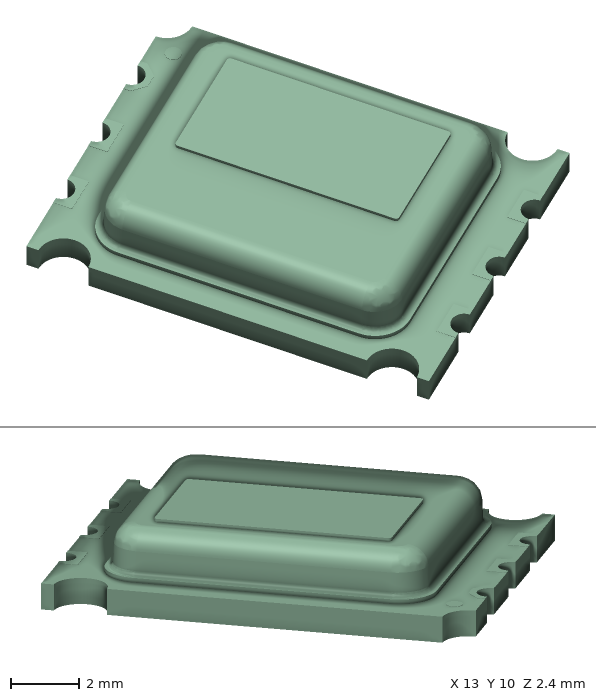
import cadquery as cq

BOARD_LENGTH = 13.0
BOARD_WIDTH = 10.0
BOARD_THICKNESS = 0.8
OVERALL_HEIGHT = 2.4

EDGE_NOTCH_RADIUS = 0.8
EDGE_NOTCH_INSET = 1.2

CONTACT_RADIUS = 0.4
CONTACT_PITCH = 2.5
CONTACTS_PER_SIDE = 3
PAD_LENGTH = 0.61
PAD_WIDTH = 1.2
PAD_CHAMFER = 0.38
PAD_HEIGHT = 0.01

MARK_DIAMETER = 0.51
MARK_END_INSET = 0.75
MARK_BACK_INSET = 1.22

LABEL_LENGTH = 7.22
LABEL_WIDTH = 3.82
LABEL_HEIGHT = 0.1
LABEL_CORNER_RADIUS = 0.1
LABEL_OFFSET_Y = 1.07

COVER_LENGTH = 9.6
COVER_WIDTH = 8.0
COVER_CORNER_RADIUS = 0.9
COVER_TOP_FILLET = 0.64
COVER_DRAFT = 2.0
FLANGE_OVERHANG = 0.23
FLANGE_HEIGHT = 0.14
FLANGE_FILLET = 0.14

board_end = BOARD_LENGTH / 2
board_back = BOARD_WIDTH / 2
lid_height = OVERALL_HEIGHT - LABEL_HEIGHT - BOARD_THICKNESS
contact_centres_y = [
    (i - (CONTACTS_PER_SIDE - 1) / 2) * CONTACT_PITCH for i in range(CONTACTS_PER_SIDE)
]
contact_centres = [(side * board_end, y) for side in (-1, 1) for y in contact_centres_y]
first_contact = (-board_end, contact_centres_y[-1])


def rounded_plate(length, width, height, corner_radius):
    """Flat plate on Z = 0 with rounded vertical edges."""
    plate = cq.Workplane("XY").rect(length, width).extrude(height)
    return plate.edges("|Z").fillet(corner_radius)


def make_pads():
    """Thin contact pads; the first one has its two inner corners cut off."""
    plain_centres = [centre for centre in contact_centres if centre != first_contact]
    top = cq.Workplane("XY").workplane(offset=BOARD_THICKNESS)
    plain_pads = top.pushPoints(plain_centres).rect(2 * PAD_LENGTH, PAD_WIDTH).extrude(PAD_HEIGHT)
    first_pad = top.center(*first_contact).rect(2 * PAD_LENGTH, PAD_WIDTH).extrude(PAD_HEIGHT)
    first_pad = first_pad.edges("|Z").chamfer(PAD_CHAMFER)
    trim = cq.Workplane("XY").box(BOARD_LENGTH, BOARD_WIDTH, OVERALL_HEIGHT * 2)
    return plain_pads.union(first_pad).intersect(trim)


def make_mark():
    """Thin round mark near the back left corner."""
    mark_centre = (MARK_END_INSET - board_end, board_back - MARK_BACK_INSET)
    top = cq.Workplane("XY").workplane(offset=BOARD_THICKNESS)
    return top.center(*mark_centre).circle(MARK_DIAMETER / 2).extrude(PAD_HEIGHT)


def make_board():
    """Board with pads and mark, cut by the edge notches and the contacts."""
    board = cq.Workplane("XY").rect(BOARD_LENGTH, BOARD_WIDTH).extrude(BOARD_THICKNESS)
    board = board.union(make_pads()).union(make_mark())

    notch_x = board_end - EDGE_NOTCH_INSET
    notch_centres = [
        (-notch_x, -board_back),
        (notch_x, -board_back),
        (notch_x, board_back),
        (-board_end, board_back),
    ]
    notches = cq.Workplane("XY").pushPoints(notch_centres).circle(EDGE_NOTCH_RADIUS)
    board = board.cut(notches.extrude(OVERALL_HEIGHT))

    contacts = cq.Workplane("XY").pushPoints(contact_centres).circle(CONTACT_RADIUS)
    return board.cut(contacts.extrude(OVERALL_HEIGHT))


def make_lid():
    """Flange and drafted cover, joined by a concave fillet."""
    cover = cq.Workplane("XY").rect(COVER_LENGTH, COVER_WIDTH).extrude(lid_height, taper=COVER_DRAFT)
    slanted_corners = "not #Z"
    cover = cover.edges(slanted_corners).fillet(COVER_CORNER_RADIUS)
    cover = cover.faces(">Z").edges().fillet(COVER_TOP_FILLET)

    flange = rounded_plate(
        COVER_LENGTH + 2 * FLANGE_OVERHANG,
        COVER_WIDTH + 2 * FLANGE_OVERHANG,
        FLANGE_HEIGHT,
        COVER_CORNER_RADIUS + FLANGE_OVERHANG,
    )
    lid = flange.union(cover)
    seam = cq.selectors.BoxSelector(
        (-COVER_LENGTH / 2, -COVER_WIDTH / 2, FLANGE_HEIGHT / 2),
        (COVER_LENGTH / 2, COVER_WIDTH / 2, FLANGE_HEIGHT * 3 / 2),
        boundingbox=True,
    )
    return lid.edges(seam).fillet(FLANGE_FILLET)


def make_label():
    """Raised label, set back from the middle of the lid."""
    label = rounded_plate(LABEL_LENGTH, LABEL_WIDTH, LABEL_HEIGHT, LABEL_CORNER_RADIUS)
    return label.translate((0, LABEL_OFFSET_Y, lid_height))


lid = make_lid().union(make_label())
result = make_board().union(lid.translate((0, 0, BOARD_THICKNESS)))